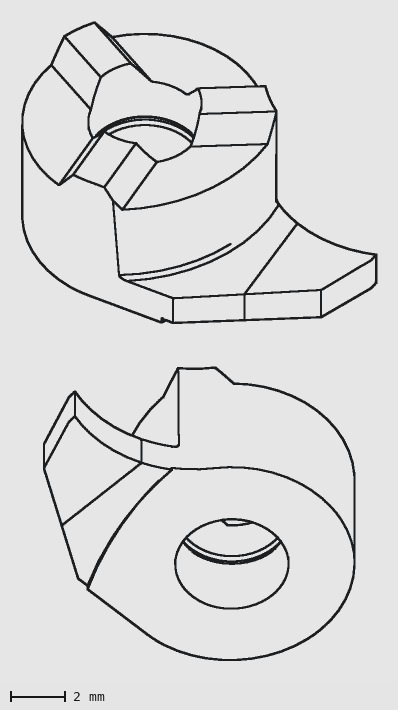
import cadquery as cq
import math

hub_radius = 9.0 / 2
hub_height = 5.01
bore_radius = 2.08
total_length = 13.5
total_height = 6.2

teeth_top = 6.02
tooth_base_width = 2.65
tooth_top_width = 1.31
tooth_angles = (-90, 30, 150)

groove_z = 2.93
groove_depth = 0.12
groove_mouth = 0.46
groove_floor = 0.14

hook_radius = 4.95
hook_center_x = 7.48
tip_x = total_length - hub_radius
tip_z = teeth_top - total_height
tip_relief = (8.96, 0.72)
blade_corner = (8.07, -1.54)
flat_end_x = 3.5
split_x = 5.7

seat_z = 1.35
seat_tilt = 2.1
wall_radius = 6.51
wall_center = (-2.0, 1.12)
wall_fillet = 0.16

blade_slope_x = -0.024
blade_slope_y = -0.045
hub_relief_start = -0.81
hub_relief_rise = 0.1

border_start = (3.01, -4.51)
border_middle = (4.39, -0.61)
border_end = (4.67, 1.66)

reach = 2 * total_length

hook_center_distance = hub_radius + hook_radius
hook_center_y = math.sqrt(hook_center_distance**2 - hook_center_x**2)
tip_y = hook_center_y - math.sqrt(hook_radius**2 - (tip_x - hook_center_x)**2)


def outline_prism(bottom, top):
    """Hub and hooked blade outline between two heights."""
    tangent_ratio = hub_radius / hook_center_distance
    tangent = (hook_center_x * tangent_ratio, hook_center_y * tangent_ratio)
    hook_low = (hook_center_x, hook_center_y - hook_radius)
    return (
        cq.Workplane("XY", origin=(0, 0, bottom))
        .moveTo(0, -hub_radius)
        .threePointArc((-hub_radius, 0), (0, hub_radius))
        .threePointArc(
            (hub_radius * math.cos(math.pi / 3), hub_radius * math.sin(math.pi / 3)), tangent
        )
        .threePointArc(hook_low, (tip_x, tip_y))
        .lineTo(*tip_relief)
        .lineTo(*blade_corner)
        .lineTo(flat_end_x, -hub_radius)
        .close()
        .extrude(top - bottom)
    )


def tooth(angle):
    """Trapezoidal bar running outward from the axis."""
    return (
        cq.Workplane("YZ")
        .polyline([
            (-tooth_base_width / 2, hub_height),
            (tooth_base_width / 2, hub_height),
            (tooth_top_width / 2, teeth_top),
            (-tooth_top_width / 2, teeth_top),
        ])
        .close()
        .extrude(reach)
        .rotate((0, 0, 0), (0, 0, 1), angle)
    )


def bore():
    """Through bore with a tapered groove in its wall."""
    hole = cq.Workplane("XY").circle(bore_radius).extrude(reach, both=True)
    groove = (
        cq.Workplane("XZ")
        .polyline([
            (0, groove_z - groove_mouth / 2),
            (bore_radius, groove_z - groove_mouth / 2),
            (bore_radius + groove_depth, groove_z - groove_floor / 2),
            (bore_radius + groove_depth, groove_z + groove_floor / 2),
            (bore_radius, groove_z + groove_mouth / 2),
            (0, groove_z + groove_mouth / 2),
        ])
        .close()
        .revolve(360, (0, 0, 0), (0, 1, 0))
    )
    return hole.union(groove)


def blade_clearance():
    """Space above the blade, outside the curved wall with its root fillet."""
    space = (
        cq.Workplane("XY")
        .circle(reach)
        .extrude(total_height)
        .cut(cq.Workplane("XY").center(*wall_center).circle(wall_radius).extrude(total_height))
    )
    root = cq.selectors.RadiusNthSelector(0)
    space = space.faces("<Z").edges(root).fillet(wall_fillet)
    return space.rotate((0, 0, 0), (1, 0, 0), -seat_tilt).translate((0, 0, seat_z))


def blade_zone(bottom, top):
    """Plan area whose underside belongs to the blade."""
    return (
        cq.Workplane("XY", origin=(0, 0, bottom))
        .moveTo(border_start[0], -reach)
        .lineTo(*border_start)
        .threePointArc(border_middle, border_end)
        .lineTo(border_end[0], reach)
        .lineTo(reach, reach)
        .lineTo(reach, -reach)
        .close()
        .extrude(top - bottom)
    )


def space_below_blade():
    """Half space under the sloping blade underside, limited to the blade zone."""
    plane = cq.Plane(
        origin=(tip_x, tip_y, tip_z),
        xDir=(1, 0, blade_slope_x),
        normal=(-blade_slope_x, -blade_slope_y, 1),
    )
    below = cq.Workplane(plane).rect(2 * reach, 2 * reach).extrude(-reach)
    return below.intersect(blade_zone(-reach, hub_height))


def space_below_hub():
    """Space under the hub, with the underside rising toward -X."""
    below = (
        cq.Workplane("XZ")
        .polyline([
            (-hub_radius, -reach),
            (reach, -reach),
            (reach, 0),
            (hub_relief_start, 0),
            (-hub_radius, hub_relief_rise),
        ])
        .close()
        .extrude(reach, both=True)
    )
    return below.cut(blade_zone(-reach, hub_height))


def whole_cutter():
    """Complete shape of the hub and blade before the tip is separated."""
    shape = outline_prism(2 * tip_z, hub_height)
    tooth_limit = outline_prism(hub_height, teeth_top)
    for angle in tooth_angles:
        shape = shape.union(tooth(angle).intersect(tooth_limit))
    shape = shape.cut(bore())
    shape = shape.cut(blade_clearance())
    return shape.cut(space_below_blade()).cut(space_below_hub())


tip_space = cq.Workplane("YZ", origin=(split_x, 0, 0)).rect(reach, reach).extrude(reach)
cutter = whole_cutter()
cutter_body = cutter.cut(tip_space)
blade_tip = cutter.intersect(tip_space)

result = cq.Compound.makeCompound([cutter_body.val(), blade_tip.val()])